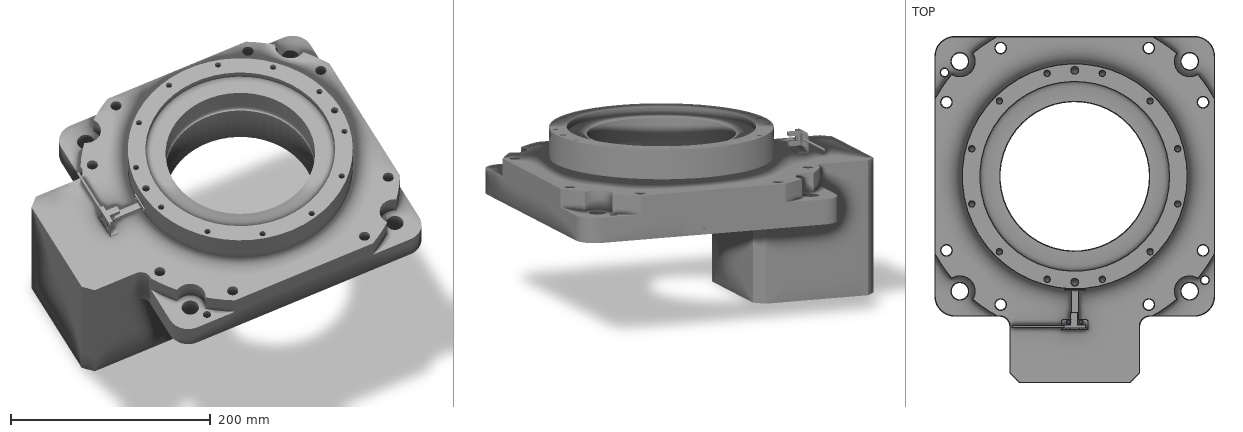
import cadquery as cq
import math


plate_side = 280.0
plate_thickness = 45.0
plate_corner_radius = 20.0
bore_radius = 75.0

pad_drop = 19.5
raised_disc_radius = 160.0
pad_relief_radius = 15.2
corner_hole_offset = 115.0
corner_hole_radius = 8.5

base_hole_circle_radius = 148.3
base_hole_radius = 5.5
base_hole_start_angles = (30, 60)
dowel_hole_x = 130.3
dowel_hole_y = 104.0
dowel_hole_radius = 4.0

port_radius = 1.0
port_offset = 9.7
port_z = -40.0
port_depth = 7.0

total_length = 346.5
total_height = 175.5
motor_side = 130.0
motor_chamfer = 9.7
motor_root_radius = 10.5

ring_gap = 7.0
ring_height = 30.0
ring_radius = 112.5
recess_radius = 95.0
recess_depth = 7.0
ring_hole_count = 12
ring_hole_circle_radius = 106.7
ring_hole_radius = 3.0
ring_dowel_circle_radius = 106.0
ring_dowel_radius = 3.8
ring_hole_depth = 10.5
drill_tip_angle = 118.0

sheet = 1.0
vane_center_x = 0.5
vane_width = 20.8
vane_bottom = 12.5
vane_top = 19.5
vane_tongue_width = 7.0
vane_tongue_end = -142.5
vane_hole_offset = 8.0
vane_hole_radius = 1.5

bracket_width = 26.7
bracket_height = 20.8
bracket_back = -153.0
bracket_foot_length = 9.7
bracket_chamfer = 1.5
slot_offset = 6.5
slot_width = 3.5
slot_bottom = 5.5
slot_top = 18.7
foot_hole_offset = 6.2
foot_hole_y = -146.0
foot_hole_radius = 2.0

flange_width = 21.5
flange_thickness = 3.5
sensor_bottom = 7.0
fork_center_x = -0.7
fork_width = 7.0
fork_front = -136.5
fork_gap_end = -146.0
fork_gap_bottom = 10.5
fork_gap_top = 17.0
cable_radius = 1.2
cable_end = -62.7
cable_z = 14.0

half_plate = plate_side / 2
motor_front = half_plate - total_length
motor_center_y = motor_front + motor_side / 2
ring_top = ring_gap + ring_height
motor_height = total_height - ring_top
bracket_wall_front = bracket_back + sheet


def box(x_range, y_range, z_range):
    """Box between the given limits along X, Y and Z."""
    size = [high - low for low, high in (x_range, y_range, z_range)]
    return cq.Workplane("XY").box(*size, centered=False).translate((x_range[0], y_range[0], z_range[0]))


def centered_range(width, center=0):
    return (center - width / 2, center + width / 2)


def cylinder(radius, bottom, top, points=((0, 0),)):
    """Upright cylinders between two heights, one at each point."""
    return cq.Workplane("XY").workplane(offset=bottom).pushPoints(points).circle(radius).extrude(top - bottom)


def circle_points(radius, count, start_angle):
    angles = [math.radians(start_angle + i * 360 / count) for i in range(count)]
    return [(radius * math.cos(a), radius * math.sin(a)) for a in angles]


def make_plate_with_motor():
    plate = cq.Workplane("XY").rect(plate_side, plate_side).extrude(-plate_thickness)
    plate = plate.edges("|Z").fillet(plate_corner_radius)
    motor = cq.Workplane("XY").center(0, motor_center_y).rect(motor_side, motor_side).extrude(-motor_height)
    motor = motor.edges("|Z").chamfer(motor_chamfer)
    return plate.union(motor).union(make_motor_root())


def make_motor_root():
    """Concave fillets, as deep as the plate, between the plate edge and the motor's sides."""
    r = motor_root_radius
    half_motor = motor_side / 2
    strip = box(centered_range(motor_side + 2 * r), (-half_plate - r, -half_plate), (-plate_thickness, 0))
    rounds = [(side * (half_motor + r), -half_plate - r) for side in (-1, 1)]
    return strip.cut(cylinder(r, -plate_thickness, 0, rounds))


def cut_corner_pads(base):
    """Lowers the plate outside the raised disc and around the corner holes."""
    corners = [(sx * corner_hole_offset, sy * corner_hole_offset) for sx in (-1, 1) for sy in (-1, 1)]
    square = cq.Workplane("XY").rect(plate_side, plate_side).extrude(-pad_drop)
    base = base.cut(square.cut(cylinder(raised_disc_radius, -pad_drop, 0)))
    base = base.cut(cylinder(pad_relief_radius, -pad_drop, 0, corners))
    return base.cut(cylinder(corner_hole_radius, -plate_thickness, 0, corners))


def cut_base_holes(base):
    mounting = []
    for start_angle in base_hole_start_angles:
        mounting += circle_points(base_hole_circle_radius, 4, start_angle)
    dowels = [(-dowel_hole_x, dowel_hole_y), (dowel_hole_x, -dowel_hole_y)]
    ports = cq.Workplane("YZ", origin=(-half_plate, 0, 0))
    ports = ports.pushPoints([(-port_offset, port_z), (port_offset, port_z)]).circle(port_radius)
    base = base.cut(cylinder(bore_radius, -plate_thickness, 0))
    base = base.cut(cylinder(base_hole_radius, -plate_thickness, 0, mounting))
    base = base.cut(cylinder(dowel_hole_radius, -plate_thickness, 0, dowels))
    return base.cut(ports.extrude(port_depth))


def make_base():
    return cut_base_holes(cut_corner_pads(make_plate_with_motor()))


def drilled_hole(radius, point):
    """Blind hole from the ring's top face, with a conical drill tip."""
    tip = radius / math.tan(math.radians(drill_tip_angle / 2))
    profile = [(0, 0), (radius, 0), (radius, -ring_hole_depth), (0, -ring_hole_depth - tip)]
    hole = cq.Workplane("XZ").polyline(profile).close().revolve(360, (0, 0), (0, 1))
    return hole.translate((*point, ring_top))


def make_ring():
    ring = cylinder(ring_radius, ring_gap, ring_top)
    ring = ring.cut(cylinder(bore_radius, ring_gap, ring_top))
    ring = ring.cut(cylinder(recess_radius, ring_top - recess_depth, ring_top))
    for point in circle_points(ring_hole_circle_radius, ring_hole_count, 180 / ring_hole_count):
        ring = ring.cut(drilled_hole(ring_hole_radius, point))
    for point in circle_points(ring_dowel_circle_radius, 2, 90):
        ring = ring.cut(drilled_hole(ring_dowel_radius, point))
    return ring


def make_vane():
    """L-shaped vane: an upright plate against the ring and a tongue that reaches into the fork."""
    plate_x_range = centered_range(vane_width, vane_center_x)
    plate = box(plate_x_range, (-ring_radius - sheet, -ring_radius), (vane_bottom, vane_top))
    holes = cq.Workplane("XZ", origin=(vane_center_x, -ring_radius, (vane_bottom + vane_top) / 2))
    holes = holes.pushPoints([(-vane_hole_offset, 0), (vane_hole_offset, 0)])
    holes = holes.circle(vane_hole_radius).extrude(sheet)
    tongue_x_range = centered_range(vane_tongue_width, vane_center_x)
    tongue = box(tongue_x_range, (vane_tongue_end, -ring_radius), (vane_bottom, vane_bottom + sheet))
    return plate.cut(holes).union(tongue)


def make_bracket():
    """Angle bracket: a slotted wall for the sensor on a foot with two screw holes."""
    x_range = centered_range(bracket_width)
    wall = box(x_range, (bracket_back, bracket_wall_front), (0, bracket_height))
    wall = wall.edges("|Y and >Z").chamfer(bracket_chamfer)
    foot = box(x_range, (bracket_back, bracket_back + bracket_foot_length), (0, sheet))
    foot = foot.edges("|Z and >Y").chamfer(bracket_chamfer)
    foot_holes = [(-foot_hole_offset, foot_hole_y), (foot_hole_offset, foot_hole_y)]
    foot = foot.cut(cylinder(foot_hole_radius, 0, sheet, foot_holes))
    slots = cq.Workplane("XZ", origin=(0, bracket_wall_front, (slot_bottom + slot_top) / 2))
    slots = slots.pushPoints([(-slot_offset, 0), (slot_offset, 0)])
    slots = slots.slot2D(slot_top - slot_bottom, slot_width, 90).extrude(sheet)
    return wall.union(foot).cut(slots)


def make_sensor():
    """Fork sensor: a flange against the bracket wall, a fork open towards the ring, and a cable."""
    z_range = (sensor_bottom, bracket_height)
    flange_front = bracket_wall_front + flange_thickness
    flange = box(centered_range(flange_width), (bracket_wall_front, flange_front), z_range)
    fork_x_range = centered_range(fork_width, fork_center_x)
    fork = box(fork_x_range, (bracket_wall_front, fork_front), z_range)
    gap = box(fork_x_range, (fork_gap_end, fork_front), (fork_gap_bottom, fork_gap_top))
    cable = cq.Workplane("YZ", origin=(cable_end, (bracket_wall_front + flange_front) / 2, cable_z))
    cable = cable.circle(cable_radius).extrude(-cable_end - flange_width / 2)
    return fork.cut(gap).union(flange).union(cable)


base = make_base()
ring = make_ring()
vane = make_vane()
bracket = make_bracket()
sensor = make_sensor()

result = cq.Compound.makeCompound([base.val(), ring.val(), vane.val(), bracket.val(), sensor.val()])